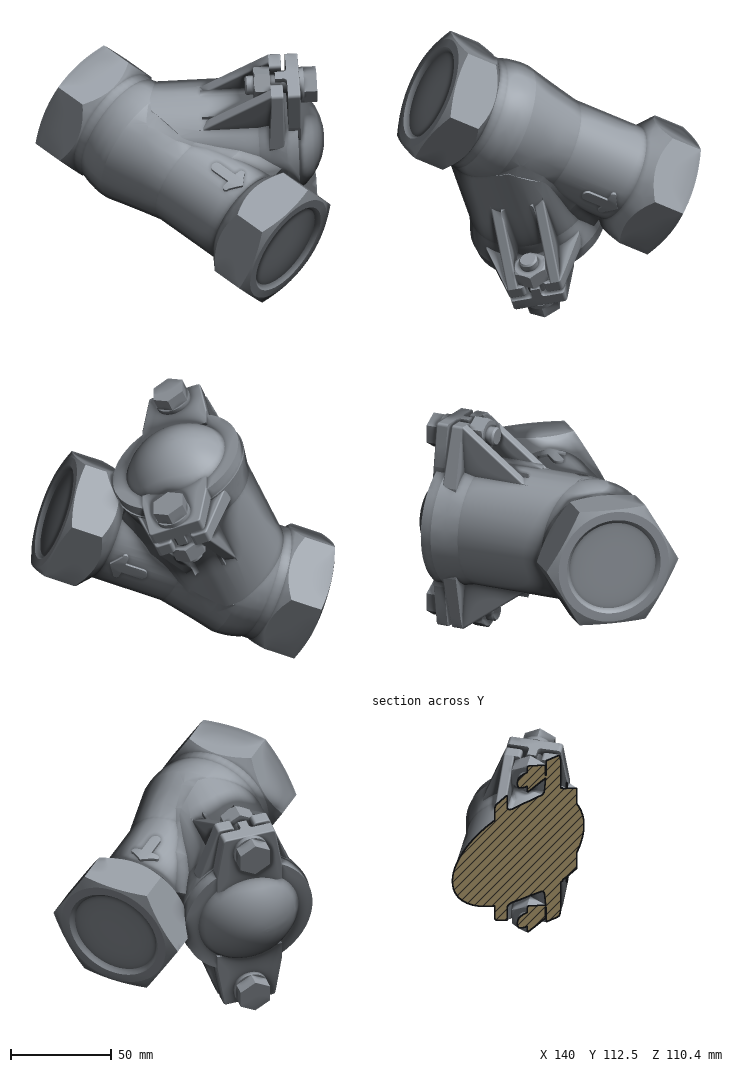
import cadquery as cq
import math

LENGTH = 140.0

HEX_FLATS = 59.8
HEX_CORNER_R = HEX_FLATS / math.sqrt(3)
HEX_FACE_R = 28.8
HEX_END_CHAMFER = 2.2
LEFT_CORNER_END = 18.5
RIGHT_CORNER_START = 121.4
PORT_R = 22.4
PORT_DEPTH = 2.1

NECK_R = 29.4
NECK_END = 28.3
CHAMBER_R = 31.6
SHOULDER = (34.2, 31.1)
TAPER_START = 43.4
TAPER_END = 73.8
PIPE_R = 24.9

BRANCH_X = 43.1
BRANCH_ANGLE = 45.0
BRANCH_R = 31.5
BRANCH_START = 4.2
BRANCH_LOW_Y = 1.7
FLARE_START = 57.0
FLARE_R = 34.5
JOINT = 70.7
COVER_R = 33.7
COVER_TOP = 76.6
COVER_CLEARANCE = 0.7
DOME_CENTRE = 59.2
DOME_R = 31.6

LUG_TOP = 53.3
LUG_HALF_WIDTH = 13.6
LUG_ROOT_Z = 21.0
LUG_CORNER_RADIUS = 1.7
LUG_FACE_RADIUS = 0.7
BODY_LUG_BACK = 63.5
BODY_LUG_FRONT = 69.7
BODY_LUG_FOOT_HALF_WIDTH = 23.8
BODY_LUG_FOOT_Z = 23.8
BODY_LUG_FOOT_BACK = 61.9
COVER_LUG_BACK = 72.0
COVER_LUG_FRONT = 78.3
COVER_LUG_FOOT_HALF_WIDTH = 17.1
BOLT_SLOT_WIDTH = 10.1
TONGUE_WIDTH = 4.5
TONGUE_END = 66.2

RIB_INNER = 8.3
RIB_FOOT = 29.3
RIB_FOOT_Z = 28.7
RIB_TOE = 26.5
RIB_EDGE_RADIUS = 0.8
ROOT_FILLET = 2.2
SEAT_FILLET = 2.4

BOLT_Z = 46.2
BOLT_HEAD_Z = 44.4
BOLT_R = 4.8
BOLT_END = 51.1
BOLT_END_CHAMFER = 0.8
HEAD_CORNER_R = 9.0
NUT_BACK = 55.5
NUT_CHAMFER_LENGTH = 0.5
NUT_CHAMFER_DEPTH = 1.3
WASHER_R = 9.0
WASHER_FRONT = 80.5
HEAD_FRONT = 87.0

WEB_SECTIONS = (
    (43.4, -4.2, 4.5), (51.8, -5.6, 2.8), (66.4, -1.4, BRANCH_LOW_Y),
    (TAPER_END, 2.2, 4.6), (92.4, 11.2, 17.5), (112.1, 20.3, 30.7))

EMBED = 2.8
PICK_MARGIN = 1.4

ARROW_START = 89.7
ARROW_SHOULDER = 102.3
ARROW_TIP = 109.8
ARROW_SHAFT_R = 2.7
ARROW_HALF_WIDTH = 7.4
ARROW_BARB = 3.1
ARROW_HEIGHT = 1.4

CORNER_UP = 30.0


def revolve_about_x(profile):
    return profile.close().revolve(360, (0, 0, 0), (1, 0, 0))


def prism_along_x(points, start, end):
    """Extrude a closed outline of (Y, Z) points from X = start to X = end."""
    return cq.Workplane("YZ").workplane(offset=start).polyline(points).close().extrude(end - start)


def rod(radius, start, end, z):
    return cq.Workplane("YZ", origin=(start, 0, z)).circle(radius).extrude(end - start)


def hexagon(corner_radius, start, end, z=0.0, turn=0.0):
    """Hexagonal bar along X; with no turn, two corners point along Y."""
    bar = cq.Workplane("YZ").polygon(6, 2 * corner_radius).extrude(end - start)
    return bar.rotate((0, 0, 0), (1, 0, 0), turn).translate((start, 0, z))


def pipe_end_hexagons():
    slope_end = LEFT_CORNER_END + HEX_CORNER_R - NECK_R
    left_envelope = revolve_about_x(
        cq.Workplane("XY").moveTo(0, 0).lineTo(0, HEX_FACE_R).lineTo(HEX_END_CHAMFER, HEX_CORNER_R)
        .lineTo(LEFT_CORNER_END, HEX_CORNER_R).lineTo(slope_end, NECK_R).lineTo(slope_end, 0))
    left = hexagon(HEX_CORNER_R, 0, slope_end).intersect(left_envelope)

    slope_start = RIGHT_CORNER_START - (HEX_CORNER_R - PIPE_R)
    right_envelope = revolve_about_x(
        cq.Workplane("XY").moveTo(slope_start, 0).lineTo(slope_start, PIPE_R)
        .lineTo(RIGHT_CORNER_START, HEX_CORNER_R).lineTo(LENGTH - HEX_END_CHAMFER, HEX_CORNER_R)
        .lineTo(LENGTH, HEX_FACE_R).lineTo(LENGTH, 0))
    right = hexagon(HEX_CORNER_R, slope_start, LENGTH).intersect(right_envelope)
    return left.union(right)


def pipe():
    start = LEFT_CORNER_END
    end = RIGHT_CORNER_START
    return revolve_about_x(
        cq.Workplane("XY").moveTo(start, 0).lineTo(start, NECK_R).lineTo(NECK_END, NECK_R)
        .threePointArc(SHOULDER, (TAPER_START, CHAMBER_R))
        .lineTo(TAPER_END, PIPE_R).lineTo(end, PIPE_R).lineTo(end, 0))


def port_recess():
    mouth_r = PORT_R + PORT_DEPTH
    return revolve_about_x(
        cq.Workplane("XY").lineTo(0, mouth_r).lineTo(PORT_DEPTH, PORT_R).lineTo(PORT_DEPTH, 0))


def pipe_radius(x):
    """Outer radius of the taper and of the straight pipe after it."""
    along_taper = min((x - TAPER_START) / (TAPER_END - TAPER_START), 1)
    return CHAMBER_R + along_taper * (PIPE_R - CHAMBER_R)


def crotch_web():
    """Ruled web between a line on the pipe and a line on the branch, alike on +Z and -Z."""
    angle = math.radians(BRANCH_ANGLE)
    wires = []
    for x, pipe_y, branch_y in WEB_SECTIONS:
        from_branch_axis = branch_y * math.cos(angle) - (x - BRANCH_X) * math.sin(angle)
        pipe_z = math.sqrt(pipe_radius(x)**2 - pipe_y**2)
        branch_z = math.sqrt(BRANCH_R**2 - from_branch_axis**2)
        corners = [(x, pipe_y, pipe_z), (x, branch_y, branch_z),
                   (x, branch_y, -branch_z), (x, pipe_y, -pipe_z)]
        wires.append(cq.Wire.makePolygon([cq.Vector(*corner) for corner in corners], close=True))
    return cq.Workplane(cq.Solid.makeLoft(wires, True))


def flow_arrows():
    """Arrows on the +Z and -Z sides of the pipe, raised evenly above its round surface."""
    shaft_arc_x = ARROW_START + ARROW_SHAFT_R
    barb_end = ARROW_SHOULDER + ARROW_BARB
    barb_mid = ARROW_SHOULDER + ARROW_BARB / 2
    barb_side = ARROW_HALF_WIDTH - ARROW_BARB / 2
    outline = (
        cq.Workplane("XY").moveTo(shaft_arc_x, ARROW_SHAFT_R)
        .threePointArc((ARROW_START, 0), (shaft_arc_x, -ARROW_SHAFT_R))
        .lineTo(ARROW_SHOULDER, -ARROW_SHAFT_R).lineTo(ARROW_SHOULDER, -barb_side)
        .threePointArc((barb_mid, -ARROW_HALF_WIDTH), (barb_end, -barb_side))
        .lineTo(ARROW_TIP, 0).lineTo(barb_end, barb_side)
        .threePointArc((barb_mid, ARROW_HALF_WIDTH), (ARROW_SHOULDER, barb_side))
        .lineTo(ARROW_SHOULDER, ARROW_SHAFT_R).close())
    through = outline.extrude(PIPE_R + ARROW_HEIGHT, both=True)
    return through.intersect(rod(PIPE_R + ARROW_HEIGHT, ARROW_START, ARROW_TIP, 0))


def branch_barrel():
    """Branch tube, its flare, the cover rim and the dome as one turned shape."""
    rim_on_dome = math.sqrt(DOME_R**2 - (COVER_TOP - DOME_CENTRE)**2)
    halfway = math.atan2(rim_on_dome, COVER_TOP - DOME_CENTRE) / 2
    dome_mid = (DOME_CENTRE + DOME_R * math.cos(halfway), DOME_R * math.sin(halfway))
    return revolve_about_x(
        cq.Workplane("XY").moveTo(BRANCH_START, 0).lineTo(BRANCH_START, BRANCH_R)
        .lineTo(FLARE_START, BRANCH_R).lineTo(JOINT, FLARE_R).lineTo(JOINT, COVER_R)
        .lineTo(COVER_TOP, COVER_R).lineTo(COVER_TOP, rim_on_dome)
        .threePointArc(dome_mid, (DOME_CENTRE + DOME_R, 0)))


def lug_plate(back, front, foot_half_width, foot_z):
    """Plate that widens downward."""
    outline = [(-LUG_HALF_WIDTH, LUG_TOP), (LUG_HALF_WIDTH, LUG_TOP), (foot_half_width, foot_z),
               (foot_half_width, LUG_ROOT_Z), (-foot_half_width, LUG_ROOT_Z), (-foot_half_width, foot_z)]
    return prism_along_x(outline, back, front)


def pick_box(low, high):
    """Selector for whatever is centred in the box, widened on every side by the pick margin."""
    return cq.selectors.BoxSelector(tuple(value - PICK_MARGIN for value in low),
                                    tuple(value + PICK_MARGIN for value in high))


def round_top_corners(lug):
    at_top = pick_box((BODY_LUG_BACK, -LUG_HALF_WIDTH, LUG_TOP), (COVER_LUG_FRONT, LUG_HALF_WIDTH, LUG_TOP))
    return lug.edges("|X").edges(at_top).fillet(LUG_CORNER_RADIUS)


def lug_block(back, front, width):
    """Block standing from the bolt axis to the top of the lug."""
    block = cq.Workplane("XY").box(front - back, width, LUG_TOP - BOLT_Z, centered=(False, True, False))
    return block.translate((back, 0, BOLT_Z))


def body_lug():
    plate = lug_plate(BODY_LUG_BACK, BODY_LUG_FRONT, BODY_LUG_FOOT_HALF_WIDTH, BODY_LUG_FOOT_Z)
    bolt_slot = lug_block(BODY_LUG_BACK, BODY_LUG_FRONT, BOLT_SLOT_WIDTH)
    lug = round_top_corners(plate.cut(bolt_slot))
    lug = lug.faces(">X").edges(">Z").fillet(LUG_FACE_RADIUS)
    foot = lug_plate(BODY_LUG_FOOT_BACK, BODY_LUG_BACK, BODY_LUG_FOOT_HALF_WIDTH, BODY_LUG_FOOT_Z)
    slope = (cq.Workplane("XZ", origin=(0, BODY_LUG_FOOT_HALF_WIDTH, 0))
             .moveTo(BODY_LUG_FOOT_BACK, LUG_ROOT_Z).lineTo(BODY_LUG_BACK, LUG_ROOT_Z)
             .lineTo(BODY_LUG_BACK, BOLT_Z).close().extrude(2 * BODY_LUG_FOOT_HALF_WIDTH))
    return lug.union(foot.intersect(slope))


def cover_lug():
    plate = lug_plate(COVER_LUG_BACK, COVER_LUG_FRONT, COVER_LUG_FOOT_HALF_WIDTH, BRANCH_R)
    plate = round_top_corners(plate).faces(">X").edges(">Z").fillet(LUG_FACE_RADIUS)
    tongue = lug_block(TONGUE_END, COVER_LUG_FRONT - LUG_CORNER_RADIUS, TONGUE_WIDTH)
    tongue_root = pick_box((COVER_LUG_BACK, -TONGUE_WIDTH / 2, BOLT_Z),
                           (COVER_LUG_BACK, TONGUE_WIDTH / 2, LUG_TOP))
    return plate.union(tongue).edges("|Z").edges(tongue_root).fillet(LUG_CORNER_RADIUS)


def rib():
    """Triangular rib on the +Y side of the bolt, with a concave fillet along its inner root."""
    toe_z = math.sqrt(BRANCH_R**2 - LUG_HALF_WIDTH**2)
    root_z = toe_z - EMBED
    plate = (cq.Workplane("XZ", origin=(0, LUG_HALF_WIDTH, 0))
             .moveTo(RIB_TOE, root_z).lineTo(RIB_TOE, toe_z).lineTo(RIB_FOOT, RIB_FOOT_Z)
             .lineTo(BODY_LUG_BACK, LUG_TOP).lineTo(BODY_LUG_BACK, root_z)
             .close().extrude(LUG_HALF_WIDTH - RIB_INNER))
    rib_mid_x = (RIB_FOOT + BODY_LUG_BACK) / 2
    rib_mid_z = (RIB_FOOT_Z + LUG_TOP) / 2
    crest = pick_box((rib_mid_x, RIB_INNER, rib_mid_z), (rib_mid_x, LUG_HALF_WIDTH, rib_mid_z))
    plate = plate.edges(crest).fillet(RIB_EDGE_RADIUS)

    inner_z = math.sqrt(BRANCH_R**2 - RIB_INNER**2)
    edge_y = RIB_INNER - ROOT_FILLET
    edge_z = math.sqrt(BRANCH_R**2 - edge_y**2)
    sag = ROOT_FILLET * (1 - math.sqrt(0.5))
    fillet = (cq.Workplane("YZ", origin=(RIB_FOOT, 0, 0))
              .moveTo(RIB_INNER, inner_z + ROOT_FILLET)
              .threePointArc((RIB_INNER - sag, edge_z + sag), (edge_y, edge_z))
              .lineTo(edge_y, inner_z - EMBED).lineTo(RIB_INNER, inner_z - EMBED)
              .close().extrude(BODY_LUG_BACK - RIB_FOOT))
    return plate.union(fillet)


def nut_seat_fillet():
    """Concave fillet between the ribs, where the body lug rises from the branch."""
    slope = (BODY_LUG_BACK - BODY_LUG_FOOT_BACK) / (BOLT_Z - LUG_ROOT_Z)
    back = BODY_LUG_FOOT_BACK + slope * (BRANCH_R + SEAT_FILLET - LUG_ROOT_Z)
    toe = back - SEAT_FILLET
    sag = SEAT_FILLET * (1 - math.sqrt(0.5))
    return (cq.Workplane("XZ", origin=(0, RIB_INNER, 0)).moveTo(back, BRANCH_R + SEAT_FILLET)
            .threePointArc((back - sag, BRANCH_R + sag), (toe, BRANCH_R))
            .lineTo(toe, BRANCH_R - EMBED).lineTo(BODY_LUG_BACK, BRANCH_R - EMBED)
            .lineTo(BODY_LUG_BACK, BRANCH_R + SEAT_FILLET).close().extrude(2 * RIB_INNER))


def bolt():
    shank = rod(BOLT_R, BOLT_END, COVER_LUG_FRONT, BOLT_Z).faces("<X").chamfer(BOLT_END_CHAMFER)
    nut_envelope = rod(HEAD_CORNER_R, NUT_BACK, BODY_LUG_BACK, BOLT_Z).faces("<X").chamfer(
        NUT_CHAMFER_LENGTH, NUT_CHAMFER_DEPTH)
    nut = hexagon(HEAD_CORNER_R, NUT_BACK, BODY_LUG_BACK, BOLT_Z, turn=CORNER_UP).intersect(nut_envelope)
    washer = rod(WASHER_R, COVER_LUG_FRONT, WASHER_FRONT, BOLT_HEAD_Z)
    head = hexagon(HEAD_CORNER_R, WASHER_FRONT, HEAD_FRONT, BOLT_HEAD_Z, turn=CORNER_UP)
    return shank.union(nut).union(washer).union(head)


def clamp():
    """Lugs, ribs and bolt on the +Z side of the branch."""
    one_rib = rib()
    return (body_lug().union(cover_lug()).union(one_rib).union(one_rib.mirror("XZ"))
            .union(nut_seat_fillet()).union(bolt()))


def place_on_pipe(shape):
    """Move a shape from the frame of the branch to its place on the pipe."""
    return shape.rotate((0, 0, 0), (0, 0, 1), BRANCH_ANGLE).translate((BRANCH_X, 0, 0))


def branch():
    one_clamp = clamp()
    assembled = place_on_pipe(branch_barrel().union(one_clamp).union(one_clamp.mirror("XY")))
    below = cq.Workplane("XY").box(2 * LENGTH, LENGTH, LENGTH)
    return assembled.cut(below.translate((0, BRANCH_LOW_Y - LENGTH / 2, 0)))


def cover_clearance():
    return place_on_pipe(rod(COVER_R + COVER_CLEARANCE, JOINT, LENGTH, 0))


ends = pipe_end_hexagons().cut(cover_clearance())
body = pipe().union(ends).union(crotch_web()).union(flow_arrows()).union(branch())
left_recess = port_recess()
right_recess = left_recess.mirror("YZ").translate((LENGTH, 0, 0))
result = body.cut(left_recess).cut(right_recess)